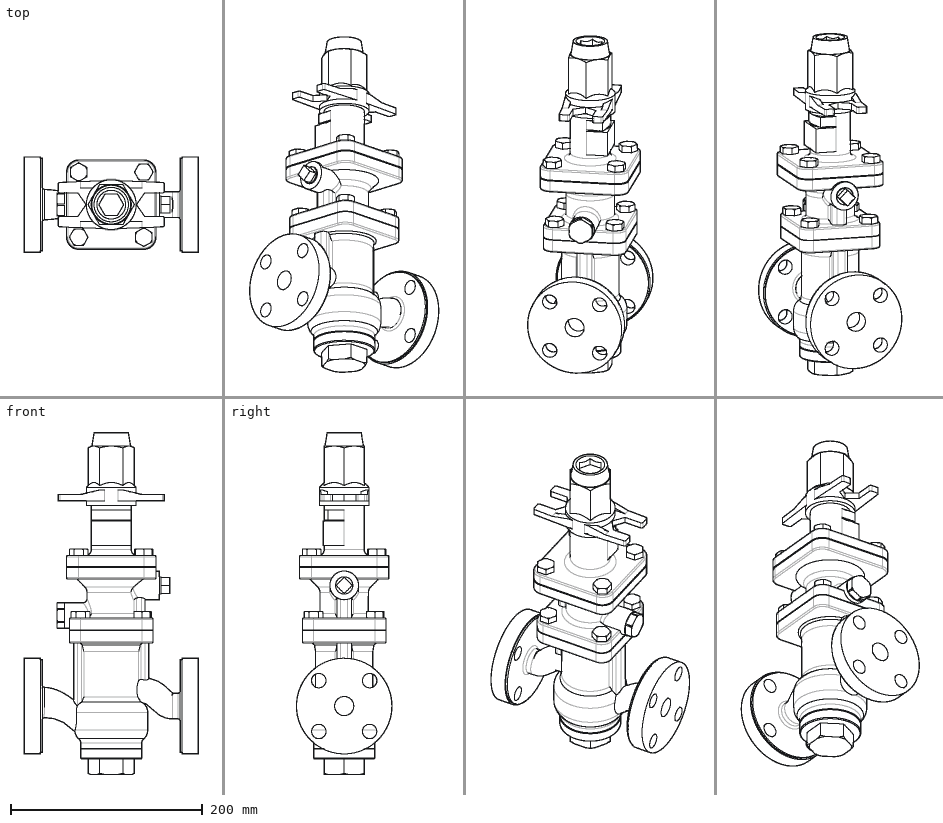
import cadquery as cq
import math


LENGTH = 182.0
TOP_Z = 285.0
BOTTOM_Z = -72.0
CLEARANCE = 1.0

PIPE_FLANGE_R = 50.0
PIPE_FLANGE_THICK = 17.0
FLANGE_BACK_R = 48.5
FLANGE_BACK_THICK = 2.0
PORT_D = 20.0
PORT_DEPTH = 20.0
PIPE_AXIS_Z = -0.5
BOLT_HOLE_D = 15.0
BOLT_CIRCLE_D = 75.0
FLANGE_BACK_X = LENGTH / 2 - PIPE_FLANGE_THICK - FLANGE_BACK_THICK

HEX_FLATS = 42.0
BOTTOM_RIM_MARGIN = 1.0
CAP_R = 32.0
CAP_BOTTOM_Z = -56.0
CAP_TOP_Z = -39.0
CAP_EDGE = 1.0
CAP_GROOVE_Z = -45.0
CAP_GROOVE_WIDTH = 0.8
CAP_GROOVE_DEPTH = 0.6
BULGE_R = 38.2
BULGE_LOW_Z = -25.5
BULGE_HIGH_Z = -7.0
BULGE_LOW_R = 13.0
BULGE_LOW_TURN = 42.5
SHOULDER_R = 12.0
SHOULDER_STEP = 1.5
BARREL_R = 30.0
BARREL_LOW_Z = 9.0
BARREL_FLARE_R = 31.2
BARREL_FLARE_Z = 56.3
BARREL_TOP_R = 33.5
BARREL_RIM = 2.0

LOWER_SIZE = 87.5
LOWER_Z = 65.3
LOWER_TOP_Z = 91.6
LOWER_JOINT_Z = 78.8
LOWER_JOINT_WIDTH = 0.3
LOWER_BOLT = 32.0
UPPER_SIZE = 93.5
UPPER_Z = 132.1
UPPER_TOP_Z = 156.8
UPPER_JOINT_Z = 144.8
UPPER_JOINT_WIDTH = 0.8
UPPER_BOLT = 34.0
JOINT_DEPTH = 0.5
SQUARE_EDGE = 1.5
HEAD_FLATS = 17.0
HEAD_HEIGHT = 6.9
HEAD_CHAMFER = 0.8

NECK_R = 25.4
NECK_FILLET = 4.3
NECK_ARC_R = 8.5
NECK_FLARE_Z = 118.0

RIB_HALF_WIDTH = 7.7
RIB_CORNER = 4.0
RIB_ROOT = 3.0
RIB_REACH = 39.4
RIB_INLET_Z = 0.0
RIB_OUTLET_Z = 20.0
NECK_RIB_REACH = 35.5

INLET_STATIONS = [
    (-FLANGE_BACK_X, 3.2, 0, 16.0),
    (-58.0, 0.7, -17, 15.0),
    (-46.0, -5.4, -33, 13.2),
    (-28.0, -19.0, -40, 13.0),
]
PIPE_ROOT = 2.5
OUTLET_PIPE_R = 13.5
OUTLET_STRAIGHT_X = 64.0
OUTLET_BENDS = [(52.6, 5.5), (42.7, 13.5), (20.0, 16.7)]

BOSS_BLEND = 4.0
INLET_BOSS_R = 13.5
INLET_BOSS_Z = 94.0
INLET_CAP_X = 49.0
INLET_END_X = 56.8
INLET_CAP_FLATS = 24.0
INLET_CAP_CHAMFER = 0.8
PLUG_BOSS_R = 15.0
PLUG_BOSS_Z = 125.5
PLUG_BOSS_END_X = 50.3
PLUG_COLLAR_R = 9.0
PLUG_COLLAR_END_X = 51.8
PLUG_SQUARE = 12.0
PLUG_END_X = 61.2

STEM_R = 21.0
STEM_FILLET = 6.0
PLATE_Y = 22.0
PLATE_LOW_Z = 167.0
PLATE_LOW_TOP_Z = 192.7
PLATE_HIGH_Z = 194.0
PLATE_HIGH_TOP_Z = 204.5
PLATE_HIGH_Y = 17.0

COLLAR_R = 26.0
COLLAR_LOW_Z = 208.7
COLLAR_HIGH_Z = 228.0
COLLAR_CONE_HEIGHT = 5.5
HEX_TOP_Z = 271.0
HEX_CHAMFER_ANGLE = 30.0
NOZZLE_BASE_R = 20.3
NOZZLE_TOP_R = 18.0
SOCKET_FLATS = 22.5
SOCKET_DEPTH = 10.0
SOCKET_MOUTH_R = 15.0

HANDLE_REACH = 55.5
HANDLE_LOW_Z = 213.7
HANDLE_HIGH_Z = 220.6
HANDLE_ARM_OUT_Y = 23.2
HANDLE_HUB_Y = 25.0
HANDLE_ARM_IN_Y = 12.2
HANDLE_ARM_ROOT_X = 34.8
HANDLE_NOTCH_X = 26.4
HANDLE_TIP_R = 2.0
HANDLE_GAP_X = 6.8
RAMP_X = 32.0
RAMP_CREST_X = 12.0
RAMP_TOP_Z = 225.2
RAMP_IN_Y = 17.4


def cylinder_x(radius, x_from, x_to, z):
    """Round bar along X."""
    return cq.Workplane("YZ", origin=(x_from, 0, z)).circle(radius).extrude(x_to - x_from)


def across_corners(flats):
    """Corner-to-corner width of a hexagon from its width across flats."""
    return flats / math.cos(math.pi / 6)


def hexagon_z(flats, z_from, z_to):
    """Hexagonal bar along Z with two corners on X."""
    base = cq.Workplane("XY", origin=(0, 0, z_from))
    return base.polygon(6, across_corners(flats)).extrude(z_to - z_from)


def cone_z(low_r, high_r, z_from, z_to):
    """Truncated cone along Z."""
    outline = [(0, z_from), (low_r, z_from), (high_r, z_to), (0, z_to)]
    return cq.Workplane("XZ").polyline(outline).close().revolve(360, (0, 0, 0), (0, 1, 0))


def turned_lower_body():
    """Cap, bulge and barrel up to the lower square flange."""
    low_turn = math.radians(BULGE_LOW_TURN)
    neck_x = BULGE_R - BULGE_LOW_R * (1 - math.cos(low_turn))
    neck_z = BULGE_LOW_Z - BULGE_LOW_R * math.sin(low_turn)
    shoulder_x = BARREL_R + SHOULDER_STEP
    shoulder_rise = math.sqrt(SHOULDER_R**2 - (shoulder_x - BULGE_R + SHOULDER_R) ** 2)
    profile = (
        cq.Workplane("XZ")
        .moveTo(0, CAP_BOTTOM_Z)
        .lineTo(CAP_R - CAP_EDGE, CAP_BOTTOM_Z)
        .lineTo(CAP_R, CAP_BOTTOM_Z + CAP_EDGE)
        .lineTo(CAP_R, CAP_TOP_Z)
        .tangentArcPoint((neck_x, neck_z), relative=False)
        .radiusArc((BULGE_R, BULGE_LOW_Z), -BULGE_LOW_R)
        .lineTo(BULGE_R, BULGE_HIGH_Z)
        .radiusArc((shoulder_x, BULGE_HIGH_Z + shoulder_rise), -SHOULDER_R)
        .lineTo(BARREL_R, BARREL_LOW_Z)
        .lineTo(BARREL_R, BARREL_FLARE_Z)
        .lineTo(BARREL_FLARE_R, LOWER_Z - BARREL_RIM)
        .lineTo(BARREL_TOP_R, LOWER_Z)
        .lineTo(0, LOWER_Z)
        .close()
    )
    body = profile.revolve(360, (0, 0, 0), (0, 1, 0))
    groove = (
        cq.Workplane("XY", origin=(0, 0, CAP_GROOVE_Z - CAP_GROOVE_WIDTH / 2))
        .circle(CAP_R + CLEARANCE)
        .circle(CAP_R - CAP_GROOVE_DEPTH)
        .extrude(CAP_GROOVE_WIDTH)
    )
    return body.cut(groove)


def bottom_hexagon():
    """Drain plug head with a chamfered lower rim."""
    rim_r = HEX_FLATS / 2 + BOTTOM_RIM_MARGIN
    spread = (CAP_BOTTOM_Z - BOTTOM_Z) / math.tan(math.radians(HEX_CHAMFER_ANGLE))
    limit = cone_z(rim_r, rim_r + spread, BOTTOM_Z, CAP_BOTTOM_Z)
    return hexagon_z(HEX_FLATS, BOTTOM_Z, CAP_BOTTOM_Z).intersect(limit)


def square_flange(size, corner_r, z_from, z_to, joint_z, joint_width):
    """Pair of square flange plates with a shallow joint line around them."""
    block = (
        cq.Workplane("XY", origin=(0, 0, z_from))
        .rect(size, size)
        .extrude(z_to - z_from)
        .edges("|Z")
        .fillet(corner_r)
        .faces("<Z or >Z")
        .edges()
        .fillet(SQUARE_EDGE)
    )
    core = size - 2 * JOINT_DEPTH
    outside = size + 2 * CLEARANCE
    joint = (
        cq.Workplane("XY", origin=(0, 0, joint_z - joint_width / 2))
        .rect(outside, outside)
        .extrude(joint_width)
    )
    inside = (
        cq.Workplane("XY", origin=(0, 0, joint_z - joint_width / 2))
        .rect(core, core)
        .extrude(joint_width)
        .edges("|Z")
        .fillet(corner_r - JOINT_DEPTH)
    )
    return block.cut(joint.cut(inside))


def bolt_heads(spacing, z):
    """Four chamfered hexagon heads at (+-spacing, +-spacing), each a quarter turn from the last."""
    limit = (
        cq.Workplane("XY")
        .circle(across_corners(HEAD_FLATS) / 2)
        .extrude(HEAD_HEIGHT)
        .faces(">Z")
        .chamfer(HEAD_CHAMFER)
    )
    head = hexagon_z(HEAD_FLATS, 0, HEAD_HEIGHT).intersect(limit)
    corner_head = head.translate((-spacing, -spacing, z))
    heads = corner_head
    for quarter in range(1, 4):
        heads = heads.union(corner_head.rotate((0, 0, 0), (0, 0, 1), 90 * quarter))
    return heads


def neck():
    """Turned neck: filleted at its foot, flared into the upper flange."""
    turn = math.pi / 4
    flare_x = NECK_R + NECK_ARC_R * (1 - math.cos(turn))
    flare_z = NECK_FLARE_Z + NECK_ARC_R * math.sin(turn)
    top_x = flare_x + UPPER_Z - flare_z
    profile = (
        cq.Workplane("XZ")
        .moveTo(0, LOWER_TOP_Z)
        .lineTo(NECK_R + NECK_FILLET, LOWER_TOP_Z)
        .radiusArc((NECK_R, LOWER_TOP_Z + NECK_FILLET), NECK_FILLET)
        .lineTo(NECK_R, NECK_FLARE_Z)
        .tangentArcPoint((flare_x, flare_z), relative=False)
        .lineTo(top_x, UPPER_Z)
        .lineTo(0, UPPER_Z)
        .close()
    )
    return profile.revolve(360, (0, 0, 0), (0, 1, 0))


def rib(side, core_r, reach, z_from, z_to):
    """Vertical channel rib blended into its round core, on the +X or -X side."""
    height = z_to - z_from
    block = cq.Workplane("XY").box(reach, 2 * RIB_HALF_WIDTH, height, centered=(False, True, False))
    blended = (
        cq.Workplane("XY")
        .circle(core_r)
        .extrude(height)
        .union(block)
        .edges("|Z and (not >X)")
        .fillet(RIB_ROOT)
        .faces(">X")
        .edges("|Z")
        .fillet(RIB_CORNER)
    )
    turn = 0 if side > 0 else 180
    return blended.rotate((0, 0, 0), (0, 0, 1), turn).translate((0, 0, z_from))


def pipe_flange(side):
    """Round flange with a stepped back; its ports are cut later."""
    outer = side * LENGTH / 2
    step = side * (LENGTH / 2 - PIPE_FLANGE_THICK)
    disc = cylinder_x(PIPE_FLANGE_R, outer, step, PIPE_AXIS_Z)
    back = cylinder_x(FLANGE_BACK_R, step, side * FLANGE_BACK_X, PIPE_AXIS_Z)
    return disc.union(back)


def flange_holes(side):
    """Port and four bolt holes of one pipe flange."""
    outer = side * LENGTH / 2
    holes = cylinder_x(PORT_D / 2, outer, outer - side * PORT_DEPTH, PIPE_AXIS_Z)
    thickness = PIPE_FLANGE_THICK + FLANGE_BACK_THICK
    bolts = (
        cq.Workplane("YZ", origin=(outer, 0, PIPE_AXIS_Z))
        .polarArray(BOLT_CIRCLE_D / 2, 45, 360, 4)
        .circle(BOLT_HOLE_D / 2)
        .extrude(-side * thickness)
    )
    return holes.union(bolts)


def bent_pipe(stations):
    """Smooth pipe through stations (x, z, heading in degrees, radius) in the XZ plane."""
    wires = []
    for x, z, heading, radius in stations:
        turn = math.radians(heading)
        direction = cq.Vector(math.cos(turn), 0, math.sin(turn))
        wires.append(cq.Wire.makeCircle(radius, cq.Vector(x, 0, z), direction))
    return cq.Workplane(cq.Solid.makeLoft(wires))


def root_fillet(side, pipe_r, z):
    """Concave collar where a pipe leaves the back of its flange."""
    foot_x = side * FLANGE_BACK_X
    end_x = side * (FLANGE_BACK_X - PIPE_ROOT)
    profile = (
        cq.Workplane("XZ", origin=(0, 0, z))
        .moveTo(foot_x, 0)
        .lineTo(foot_x, pipe_r + PIPE_ROOT)
        .radiusArc((end_x, pipe_r), side * PIPE_ROOT)
        .lineTo(end_x, 0)
        .close()
    )
    return profile.revolve(360, (0, 0, 0), (1, 0, 0))


def inlet_pipe():
    """Tapering pipe that drops from the -X flange into the bulge."""
    _, start_z, _, start_r = INLET_STATIONS[0]
    return bent_pipe(INLET_STATIONS).union(root_fillet(-1, start_r, start_z))


def outlet_pipe():
    """S-shaped pipe from the +X flange into the barrel."""
    flange_end = (FLANGE_BACK_X, PIPE_AXIS_Z)
    path = (
        cq.Workplane("XZ")
        .moveTo(*flange_end)
        .lineTo(OUTLET_STRAIGHT_X, PIPE_AXIS_Z)
        .spline(OUTLET_BENDS, tangents=[(-1, 0), (-1, 0.1)], includeCurrent=True)
    )
    start = cq.Plane(origin=(flange_end[0], 0, flange_end[1]), xDir=(0, 1, 0), normal=(-1, 0, 0))
    pipe = cq.Workplane(start).circle(OUTLET_PIPE_R).sweep(path, transition="round")
    return pipe.union(root_fillet(1, OUTLET_PIPE_R, PIPE_AXIS_Z))


def blended_boss(side, boss_r, end_x, z):
    """Round side boss on a length of neck, blended where the two meet."""
    core = cq.Workplane("XY", origin=(0, 0, z - NECK_R)).circle(NECK_R).extrude(2 * NECK_R)
    boss = cylinder_x(boss_r, 0, side * end_x, z)
    reach = boss_r + CLEARANCE
    meeting = cq.selectors.BoxSelector(
        (0, -reach, z - reach),
        (side * (NECK_R + CLEARANCE), reach, z + reach),
        boundingbox=True,
    )
    return core.union(boss).edges(meeting).fillet(BOSS_BLEND)


def inlet_boss():
    """Capped boss on the -X side, above the lower flange."""
    boss = blended_boss(-1, INLET_BOSS_R, INLET_CAP_X, INLET_BOSS_Z)
    limit = cylinder_x(INLET_BOSS_R, -INLET_END_X, -INLET_CAP_X, INLET_BOSS_Z)
    limit = limit.faces("<X").chamfer(INLET_CAP_CHAMFER)
    hexagon = (
        cq.Workplane("YZ", origin=(-INLET_END_X, 0, INLET_BOSS_Z))
        .transformed(rotate=(0, 0, 90))
        .polygon(6, across_corners(INLET_CAP_FLATS))
        .extrude(INLET_END_X - INLET_CAP_X)
    )
    return boss.union(limit.intersect(hexagon))


def plug_boss():
    """Boss on the +X side with a square-headed plug set on its corner."""
    boss = blended_boss(1, PLUG_BOSS_R, PLUG_BOSS_END_X, PLUG_BOSS_Z)
    collar = cylinder_x(PLUG_COLLAR_R, PLUG_BOSS_END_X, PLUG_COLLAR_END_X, PLUG_BOSS_Z)
    head = (
        cq.Workplane("YZ", origin=(PLUG_COLLAR_END_X, 0, PLUG_BOSS_Z))
        .transformed(rotate=(0, 0, 45))
        .rect(PLUG_SQUARE, PLUG_SQUARE)
        .extrude(PLUG_END_X - PLUG_COLLAR_END_X)
    )
    return boss.union(collar).union(head)


def stem():
    """Round stem with a flat and a bowed name plate on its -Y side."""
    profile = (
        cq.Workplane("XZ")
        .moveTo(0, UPPER_TOP_Z)
        .lineTo(STEM_R + STEM_FILLET, UPPER_TOP_Z)
        .radiusArc((STEM_R, UPPER_TOP_Z + STEM_FILLET), STEM_FILLET)
        .lineTo(STEM_R, COLLAR_LOW_Z)
        .lineTo(0, COLLAR_LOW_Z)
        .close()
    )
    post = profile.revolve(360, (0, 0, 0), (0, 1, 0))
    low_plate = cq.Workplane("XY").box(
        2 * STEM_R, PLATE_Y, PLATE_LOW_TOP_Z - PLATE_LOW_Z, centered=(True, False, False)
    ).translate((0, -PLATE_Y, PLATE_LOW_Z))
    high_plate = (
        cq.Workplane("XY", origin=(0, 0, PLATE_HIGH_Z))
        .moveTo(-STEM_R, 0)
        .lineTo(-STEM_R, -PLATE_HIGH_Y)
        .threePointArc((0, -STEM_R), (STEM_R, -PLATE_HIGH_Y))
        .lineTo(STEM_R, 0)
        .close()
        .extrude(PLATE_HIGH_TOP_Z - PLATE_HIGH_Z)
    )
    return post.union(low_plate).union(high_plate)


def collar_and_hexagon():
    """Collar, hexagon body and conical nozzle with a hexagon socket."""
    collar = cone_z(COLLAR_R, COLLAR_R, COLLAR_LOW_Z, COLLAR_HIGH_Z)
    cone_top = COLLAR_HIGH_Z + COLLAR_CONE_HEIGHT
    cone = cone_z(COLLAR_R, COLLAR_R - COLLAR_CONE_HEIGHT, COLLAR_HIGH_Z, cone_top)
    hexagon = hexagon_z(HEX_FLATS, COLLAR_HIGH_Z, HEX_TOP_Z)
    rim_r = HEX_FLATS / 2
    drop = HEX_TOP_Z - COLLAR_HIGH_Z
    limit = cone_z(rim_r + drop / math.tan(math.radians(HEX_CHAMFER_ANGLE)), rim_r,
                   COLLAR_HIGH_Z, HEX_TOP_Z)
    nozzle = cone_z(NOZZLE_BASE_R, NOZZLE_TOP_R, HEX_TOP_Z, TOP_Z)
    socket_floor = TOP_Z - SOCKET_DEPTH
    socket = hexagon_z(SOCKET_FLATS, socket_floor, TOP_Z)
    mouth_drop = SOCKET_MOUTH_R - SOCKET_FLATS / 2
    mouth = cone_z(SOCKET_FLATS / 2, SOCKET_MOUTH_R, TOP_Z - mouth_drop, TOP_Z)
    head = collar.union(cone).union(hexagon.intersect(limit)).union(nozzle)
    return head.cut(socket).cut(mouth)


def handle():
    """Four-armed handle plate with a ramp rising to the collar on each arm."""
    blank = (
        cq.Workplane("XY", origin=(0, 0, HANDLE_LOW_Z))
        .moveTo(HANDLE_GAP_X, 0)
        .lineTo(HANDLE_NOTCH_X, 0)
        .lineTo(HANDLE_ARM_ROOT_X, HANDLE_ARM_IN_Y)
        .lineTo(HANDLE_REACH, HANDLE_ARM_IN_Y)
        .lineTo(HANDLE_REACH, HANDLE_ARM_OUT_Y)
        .lineTo(HANDLE_GAP_X, HANDLE_HUB_Y)
        .close()
        .extrude(RAMP_TOP_Z - HANDLE_LOW_Z)
        .faces(">X")
        .edges("|Z")
        .fillet(HANDLE_TIP_R)
    )
    side_outline = [
        (0, HANDLE_LOW_Z),
        (HANDLE_REACH, HANDLE_LOW_Z),
        (HANDLE_REACH, HANDLE_HIGH_Z),
        (RAMP_X, HANDLE_HIGH_Z),
        (RAMP_CREST_X, RAMP_TOP_Z),
        (0, RAMP_TOP_Z),
    ]
    ramped = cq.Workplane("XZ").polyline(side_outline).close().extrude(-HANDLE_HUB_Y)
    step = (
        cq.Workplane("XY", origin=(0, 0, HANDLE_HIGH_Z))
        .rect(HANDLE_REACH, RAMP_IN_Y, centered=False)
        .extrude(RAMP_TOP_Z - HANDLE_HIGH_Z)
    )
    arm = blank.intersect(ramped).cut(step)
    half = arm.union(arm.mirror("XZ"))
    return half.union(half.mirror("YZ"))


body = (
    turned_lower_body()
    .union(bottom_hexagon())
    .union(square_flange(LOWER_SIZE, LOWER_SIZE / 2 - LOWER_BOLT, LOWER_Z, LOWER_TOP_Z,
                         LOWER_JOINT_Z, LOWER_JOINT_WIDTH))
    .union(neck())
    .union(square_flange(UPPER_SIZE, UPPER_SIZE / 2 - UPPER_BOLT, UPPER_Z, UPPER_TOP_Z,
                         UPPER_JOINT_Z, UPPER_JOINT_WIDTH))
    .union(bolt_heads(LOWER_BOLT, LOWER_TOP_Z))
    .union(bolt_heads(UPPER_BOLT, UPPER_TOP_Z))
    .union(rib(-1, BARREL_R, RIB_REACH, RIB_INLET_Z, LOWER_Z + SQUARE_EDGE))
    .union(rib(1, BARREL_R, RIB_REACH, RIB_OUTLET_Z, LOWER_Z + SQUARE_EDGE))
    .union(rib(1, NECK_R, NECK_RIB_REACH, LOWER_TOP_Z - SQUARE_EDGE, PLUG_BOSS_Z))
    .union(inlet_boss())
    .union(plug_boss())
    .union(stem())
    .union(collar_and_hexagon())
    .union(handle())
    .union(inlet_pipe())
    .union(outlet_pipe())
)
for flange_side in (-1, 1):
    body = body.union(pipe_flange(flange_side)).cut(flange_holes(flange_side))

result = body